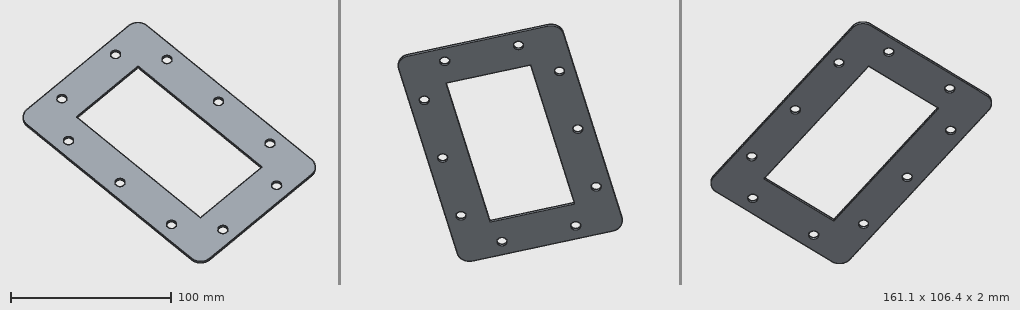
import cadquery as cq

LENGTH = 161.1
WIDTH = 106.4
THICKNESS = 2.0
CORNER_RADIUS = 8.0

WINDOW_LENGTH = 109.22
WINDOW_WIDTH = WINDOW_LENGTH / 2

HOLE_DIAMETER = 6.35
LONG_SIDE_PITCH = 45.4
LONG_SIDE_OFFSET = 43.65
SHORT_SIDE_PITCH = 47.6
SHORT_SIDE_OFFSET = 70.9


def make_plate():
    """Flat plate with rounded vertical corners, centred on the origin in X and Y."""
    plate = cq.Workplane("XY").box(LENGTH, WIDTH, THICKNESS, centered=(True, True, False))
    return plate.edges("|Z").fillet(CORNER_RADIUS)


def make_window():
    """Sharp-cornered opening through the plate."""
    return cq.Workplane("XY").rect(WINDOW_LENGTH, WINDOW_WIDTH).extrude(THICKNESS)


def bolt_hole_centres():
    """Three holes along each long side and two along each short side."""
    centres = []
    for side in (-1, 1):
        for step in (-1, 0, 1):
            centres.append((step * LONG_SIDE_PITCH, side * LONG_SIDE_OFFSET))
        for end in (-1, 1):
            centres.append((side * SHORT_SIDE_OFFSET, end * SHORT_SIDE_PITCH / 2))
    return centres


def make_bolt_holes():
    """Cylinders that cut the bolt holes through the plate."""
    holes = cq.Workplane("XY").pushPoints(bolt_hole_centres())
    return holes.circle(HOLE_DIAMETER / 2).extrude(THICKNESS)


result = make_plate().cut(make_window()).cut(make_bolt_holes())